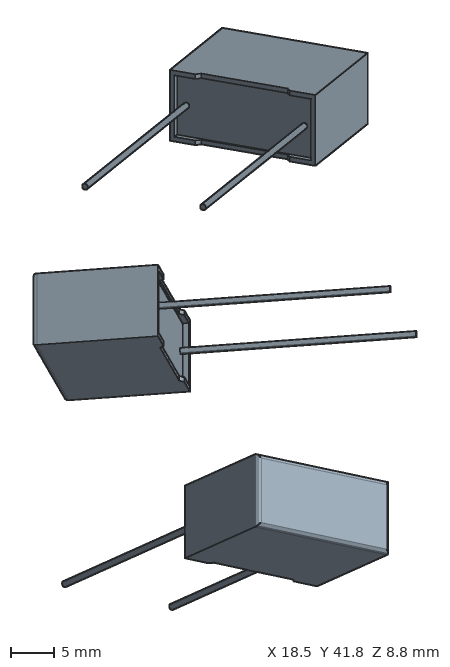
import cadquery as cq

WIDTH = 18.5
TOTAL_LENGTH = 41.8
HEIGHT = 8.8

CASE_LENGTH = 14.8
WALL = 0.6
REAR_ROUND = 0.5

NOTCH_DEPTH = 0.5
NOTCH_FLOOR_WIDTH = 11.0
NOTCH_MOUTH_WIDTH = NOTCH_FLOOR_WIDTH + 2 * NOTCH_DEPTH

FILL_RECESS = 0.75

LEAD_DIAMETER = 0.75
LEAD_PITCH = 15.0

REAR_Y = CASE_LENGTH
FILL_FRONT_Y = FILL_RECESS
CAVITY_END_Y = REAR_Y - WALL
LEAD_TIP_Y = CASE_LENGTH - TOTAL_LENGTH

CAVITY_WIDTH = WIDTH - 2 * WALL
CAVITY_HEIGHT = HEIGHT - 2 * WALL


def block(width, height, start_y, end_y):
    """Box centred in X and Z that runs from start_y to end_y."""
    return cq.Workplane("XY").box(width, end_y - start_y, height).translate((0, (start_y + end_y) / 2, 0))


def make_notch():
    """Trapezoidal cutter that runs through the full height of the case."""
    half_mouth = NOTCH_MOUTH_WIDTH / 2
    half_floor = NOTCH_FLOOR_WIDTH / 2
    return (
        cq.Workplane("XY", origin=(0, 0, -HEIGHT / 2))
        .moveTo(-half_mouth, 0)
        .lineTo(-half_floor, NOTCH_DEPTH)
        .lineTo(half_floor, NOTCH_DEPTH)
        .lineTo(half_mouth, 0)
        .close()
        .extrude(HEIGHT)
    )


def make_case():
    shell = block(WIDTH, HEIGHT, 0, REAR_Y).faces(">Y").edges().fillet(REAR_ROUND)
    shell = shell.cut(block(CAVITY_WIDTH, CAVITY_HEIGHT, 0, CAVITY_END_Y))
    return shell.cut(make_notch())


def make_fill():
    return block(CAVITY_WIDTH, CAVITY_HEIGHT, FILL_FRONT_Y, CAVITY_END_Y)


def make_lead(x):
    """Straight round lead standing on the face of the fill."""
    lead_length = FILL_FRONT_Y - LEAD_TIP_Y
    return cq.Workplane("XZ", origin=(x, FILL_FRONT_Y, 0)).circle(LEAD_DIAMETER / 2).extrude(lead_length)


case = make_case()
fill = make_fill()
leads = [make_lead(side * LEAD_PITCH / 2) for side in (-1, 1)]

result = cq.Compound.makeCompound([case.val(), fill.val(), *[lead.val() for lead in leads]])